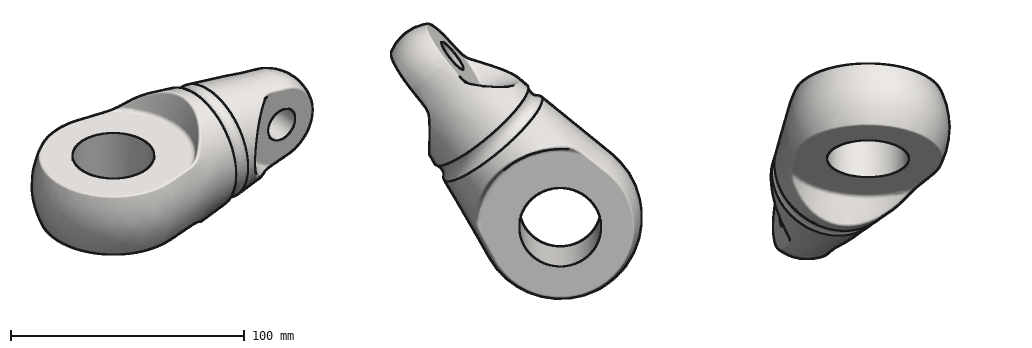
import cadquery as cq
import math

length = 140.0
big_radius = 35.0
small_radius = 20.0
small_y = length - big_radius - small_radius

big_thickness = 30.0
big_hole_diameter = 35.0
small_thickness = 20.0
small_hole_diameter = 15.0

big_wall_lean = 15.0
small_wall_lean = 25.0
floor_fillet = 2.0
edge_round = 1.0

groove_start_y = 45.5
groove_bottom_y = 50.1
groove_end_y = 53.2
groove_bottom_radius = 25.2

cutter_height = 42.0

cone_sine = (big_radius - small_radius) / small_y
cone_cosine = math.sqrt(1 - cone_sine**2)


def cone_radius(y):
    return (big_radius - y * cone_sine) / cone_cosine


def ball_point(center_y, radius, angle):
    """Point on a ball outline; the angle is measured from +Y."""
    return (radius * math.sin(angle), center_y + radius * math.cos(angle))


def make_body():
    tangent_angle = math.acos(cone_sine)
    return (
        cq.Workplane("XY")
        .moveTo(0, -big_radius)
        .threePointArc((big_radius, 0), ball_point(0, big_radius, tangent_angle))
        .lineTo(*ball_point(small_y, small_radius, tangent_angle))
        .threePointArc(
            ball_point(small_y, small_radius, tangent_angle / 2), (0, small_y + small_radius)
        )
        .close()
        .revolve(360, (0, 0, 0), (0, 1, 0))
    )


def arc_middle(edge_radius, edge_y):
    """Middle of the arc from the groove bottom, where it runs along Y, to a groove edge."""
    rise = edge_radius - groove_bottom_radius
    run = edge_y - groove_bottom_y
    arc_radius = (rise**2 + run**2) / (2 * rise)
    half_sweep = math.atan2(rise, abs(run))
    return (
        groove_bottom_radius + arc_radius * (1 - math.cos(half_sweep)),
        groove_bottom_y + math.copysign(arc_radius * math.sin(half_sweep), run),
    )


def make_groove():
    """Ring with two arcs that meet at the bottom of the groove."""
    start_radius = cone_radius(groove_start_y)
    end_radius = cone_radius(groove_end_y)
    return (
        cq.Workplane("XY")
        .moveTo(start_radius, groove_start_y)
        .threePointArc(
            arc_middle(start_radius, groove_start_y), (groove_bottom_radius, groove_bottom_y)
        )
        .threePointArc(arc_middle(end_radius, groove_end_y), (end_radius, groove_end_y))
        .lineTo(big_radius, groove_end_y)
        .lineTo(big_radius, groove_start_y)
        .close()
        .revolve(360, (0, 0, 0), (0, 1, 0))
    )


def make_recess(thickness, floor_radius, wall_lean, toward_end):
    """Cutter above a flat at Z = thickness / 2: a leaning round wall, open towards the eye's end."""
    lean = math.radians(wall_lean)
    top_radius = floor_radius + cutter_height * math.tan(lean)
    cone = cq.Solid.makeCone(floor_radius, top_radius, cutter_height)
    cutter = cq.Workplane(cone).faces("<Z").edges().fillet(floor_fillet)
    open_side = cq.Workplane("XY").box(
        4 * floor_radius, 2 * floor_radius, cutter_height, centered=(True, False, False)
    )
    if toward_end < 0:
        open_side = open_side.mirror("XZ")
    return cutter.union(open_side).translate((0, 0, thickness / 2))


def cut_eye(body, thickness, floor_radius, wall_lean, toward_end, center_y, turn):
    """Cut both flats of an eye; turn rotates them about Y."""
    for side in (0, 180):
        cutter = make_recess(thickness, floor_radius, wall_lean, toward_end)
        cutter = cutter.translate((0, center_y, 0)).rotate((0, 0, 0), (0, 1, 0), turn + side)
        body = body.cut(cutter)
    return body


def make_hole(plane, center_y, diameter):
    center = (0, center_y, 0)
    return cq.Workplane(plane, origin=center).circle(diameter / 2).extrude(big_radius, both=True)


body = make_body()
body = cut_eye(body, big_thickness, big_radius, big_wall_lean, -1, 0, 0)
body = cut_eye(body, small_thickness, small_radius, small_wall_lean, 1, small_y, 90)

body = body.faces("|Z").edges("<Y").fillet(edge_round)
body = body.faces("|X").edges(">Y").fillet(edge_round)

body = body.cut(make_groove())
body = body.cut(make_hole("XY", 0, big_hole_diameter))
result = body.cut(make_hole("YZ", small_y, small_hole_diameter))